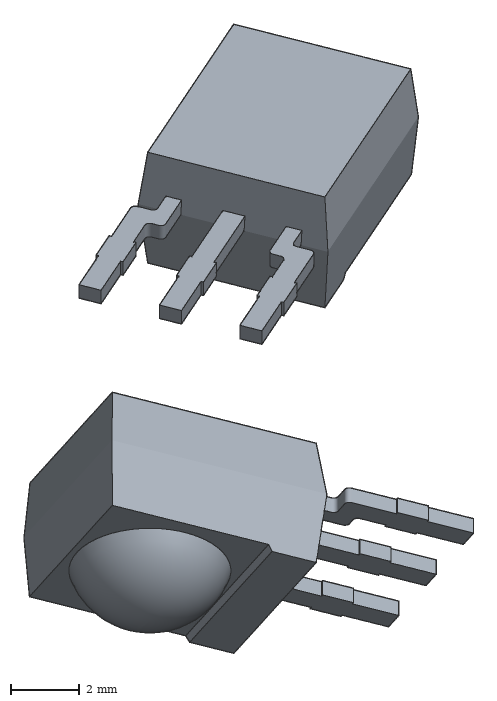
import cadquery as cq


body_width = 6.0
body_length = 6.95
body_back = 2.65
body_front = body_back - body_length
top_height = 1.8
bottom_depth = 2.3
side_taper = 0.2
back_taper = 0.1
front_taper = 0.25

recess_height = 0.2
recess_length = 5.15
recess_slope_run = 0.12

lens_radius = 2.5
lens_bottom = -3.8

lead_pitch = 2.54
lead_width = 0.7
lead_thickness = 0.5
lead_reach = 4.8
lead_embed = 0.5
lead_tip = body_front - lead_reach
lead_root = body_front + lead_embed

stop_width = 0.85
stop_start = 1.5
stop_length = 1.0

neck_width = 0.5
neck_center = 1.9
jog_lower = lead_tip + 3.5
jog_upper = lead_tip + 4.1
jog_radius = 0.15


def parting_outline():
    """Rectangle of the body at the parting plane."""
    center_y = (body_front + body_back) / 2
    return cq.Workplane("XY").center(0, center_y).rect(body_width, body_length)


def tapered_half(end_z):
    """Half of the body, from the parting plane to its smaller end face."""
    end_width = body_width - 2 * side_taper
    end_length = body_length - back_taper - front_taper
    end_shift = (front_taper - back_taper) / 2
    return (
        parting_outline()
        .workplane(offset=end_z)
        .center(0, end_shift)
        .rect(end_width, end_length)
        .loft(ruled=True)
    )


def underside_recess():
    """Cutter that leaves a raised pad near the leads, with a sloped edge."""
    roof_z = recess_height - bottom_depth
    slope_start = body_back - recess_length
    return (
        cq.Workplane("YZ")
        .moveTo(body_back, -bottom_depth)
        .lineTo(body_back, roof_z)
        .lineTo(slope_start, roof_z)
        .lineTo(slope_start - recess_slope_run, -bottom_depth)
        .close()
        .extrude(body_width / 2, both=True)
    )


def lens():
    """Lower part of the lens sphere, starting at its centre plane inside the body."""
    center_z = lens_bottom + lens_radius
    return (
        cq.Workplane("XZ")
        .moveTo(0, center_z)
        .lineTo(lens_radius, center_z)
        .radiusArc((0, lens_bottom), lens_radius)
        .close()
        .revolve(360, (0, 0), (0, 1))
    )


def flat_bar(center_x, width, y_start, y_end):
    """Strip of lead metal running along Y."""
    return (
        cq.Workplane("XY")
        .center(center_x, (y_start + y_end) / 2)
        .rect(width, y_end - y_start)
        .extrude(lead_thickness)
    )


def lead_stop(center_x):
    """Widened stretch of a lead."""
    y_start = lead_tip + stop_start
    return flat_bar(center_x, stop_width, y_start, y_start + stop_length)


def middle_lead():
    return flat_bar(0, lead_width, lead_tip, lead_root).union(lead_stop(0))


def outer_lead():
    """Lead on the +X side: narrow neck, rounded jog outward, straight leg."""
    leg_inner = lead_pitch - lead_width / 2
    leg_outer = lead_pitch + lead_width / 2
    neck_inner = neck_center - neck_width / 2
    neck_outer = neck_center + neck_width / 2
    strip = (
        cq.Workplane("XY")
        .moveTo(leg_inner, lead_tip)
        .lineTo(leg_outer, lead_tip)
        .lineTo(leg_outer, jog_upper)
        .lineTo(neck_outer, jog_upper)
        .lineTo(neck_outer, lead_root)
        .lineTo(neck_inner, lead_root)
        .lineTo(neck_inner, jog_lower)
        .lineTo(leg_inner, jog_lower)
        .close()
        .extrude(lead_thickness)
    )
    jog_zone = cq.selectors.BoxSelector(
        (0, jog_lower - jog_radius, -lead_thickness),
        (body_width, jog_upper + jog_radius, 2 * lead_thickness),
    )
    rounded = strip.edges("|Z").edges(jog_zone).fillet(jog_radius)
    return rounded.union(lead_stop(lead_pitch))


body = tapered_half(top_height).union(tapered_half(-bottom_depth))
body = body.cut(underside_recess()).union(lens())

right_lead = outer_lead()
left_lead = right_lead.mirror("YZ")
result = body.union(middle_lead()).union(right_lead).union(left_lead)